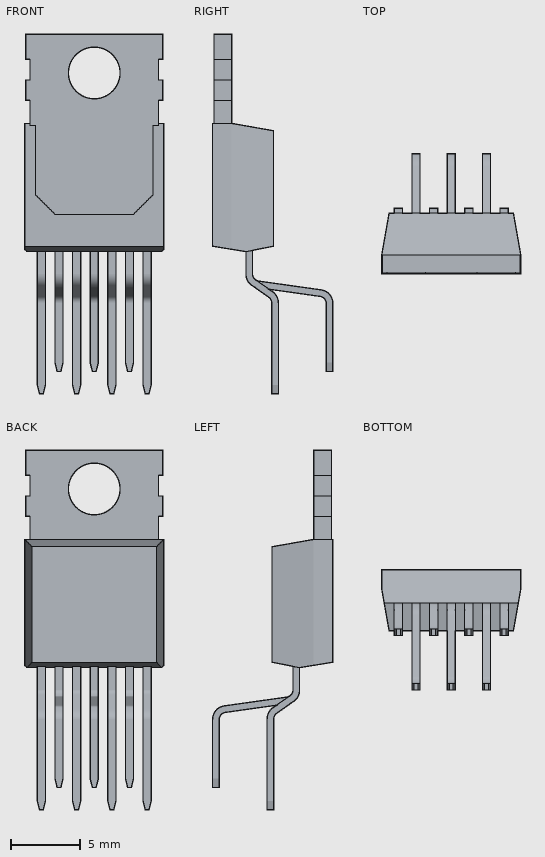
import cadquery as cq
import math


tab_top = 25.85
tab_width = 9.85
tab_thickness = 1.3
tab_setback = 0.1
tab_neck_width = 9.25
tab_tongue_width = 8.48
tab_tongue_top = 19.28
tab_bottom = 12.87
tab_corner = 1.45
notch_height = 1.47
upper_notch_top = tab_top - 1.8
tooth_height = 1.47
hole_diameter = 3.7
hole_drop = 2.8

body_width = 10.0
body_depth = 4.4
body_top = 19.45
body_bottom = 10.2
body_bottom_rise = 0.4
parting_y = tab_setback + tab_thickness
draft_angle = 10.0
draft = (body_depth - parting_y) * math.tan(math.radians(draft_angle))

lead_count = 7
lead_pitch = 1.27
lead_width = 0.6
lead_thickness = 0.5
lead_exit_y = 2.64
lead_embedment = 1.3
ridge_y = lead_exit_y - lead_thickness / 2
bend_start = 8.6
bend_radius = 0.75
tip_length = 0.62
tip_width = 0.28
total_depth = 8.65
long_lead_y = 4.5
long_lead_slope = 35.0
long_lead_end = 0.0
short_lead_y = total_depth - lead_thickness / 2
short_lead_slope = 8.0
short_lead_end = 1.6


def make_tab():
    """Notched plate with chamfered lower corners and a mounting hole."""
    upper_notch_bottom = upper_notch_top - notch_height
    lower_notch_top = upper_notch_bottom - tooth_height
    half_outline = [
        (tab_width / 2, tab_top),
        (tab_width / 2, upper_notch_top),
        (tab_neck_width / 2, upper_notch_top),
        (tab_neck_width / 2, upper_notch_bottom),
        (tab_width / 2, upper_notch_bottom),
        (tab_width / 2, lower_notch_top),
        (tab_neck_width / 2, lower_notch_top),
        (tab_neck_width / 2, tab_tongue_top),
        (tab_tongue_width / 2, tab_tongue_top),
        (tab_tongue_width / 2, tab_bottom + tab_corner),
        (tab_tongue_width / 2 - tab_corner, tab_bottom),
    ]
    mirrored = [(-x, z) for x, z in reversed(half_outline)]
    face = cq.Workplane("XZ", origin=(0, tab_setback, 0))
    plate = face.polyline(half_outline + mirrored).close().extrude(-tab_thickness)
    hole = face.center(0, tab_top - hole_drop).circle(hole_diameter / 2).extrude(-tab_thickness)
    return plate.cut(hole)


def make_tab_recess():
    """Clearance in front of the tab, so that its face shows through the body."""
    return make_tab().translate((0, -tab_thickness, 0))


def make_body():
    """Side profile and plan outline intersected, which drafts the back half on its top and sides."""
    side_profile = [
        (0, body_top),
        (parting_y, body_top),
        (body_depth, body_top - draft),
        (body_depth, body_bottom + body_bottom_rise),
        (ridge_y, body_bottom),
        (0, body_bottom + body_bottom_rise),
    ]
    back_half_width = body_width / 2 - draft
    plan_outline = [
        (-body_width / 2, 0),
        (body_width / 2, 0),
        (body_width / 2, parting_y),
        (back_half_width, body_depth),
        (-back_half_width, body_depth),
        (-body_width / 2, parting_y),
    ]
    block = cq.Workplane("YZ").polyline(side_profile).close().extrude(body_width / 2, both=True)
    return block.intersect(cq.Workplane("XY").polyline(plan_outline).close().extrude(body_top))


def make_lead(x, end_y, slope, end_z):
    """Flat lead that leaves the body downwards, slants backwards, then drops to a tapered tip."""
    turn = math.radians(90 - slope)
    arc_y = bend_radius * (1 - math.cos(turn))
    arc_z = bend_radius * math.sin(turn)
    slant_y = end_y - lead_exit_y - 2 * arc_y
    slant_z = slant_y / math.tan(turn)
    bend_end = bend_start - 2 * arc_z - slant_z
    start_z = body_bottom + lead_embedment

    centreline = (
        cq.Workplane("YZ", origin=(x, 0, 0))
        .moveTo(lead_exit_y, start_z)
        .lineTo(lead_exit_y, bend_start)
        .tangentArcPoint((lead_exit_y + arc_y, bend_start - arc_z), relative=False)
        .lineTo(end_y - arc_y, bend_end + arc_z)
        .tangentArcPoint((end_y, bend_end), relative=False)
        .lineTo(end_y, end_z)
    )
    section = cq.Workplane("XY", origin=(x, lead_exit_y, start_z)).rect(lead_width, lead_thickness)
    strip = section.sweep(centreline)

    front_outline = [
        (x - lead_width / 2, start_z),
        (x + lead_width / 2, start_z),
        (x + lead_width / 2, end_z + tip_length),
        (x + tip_width / 2, end_z),
        (x - tip_width / 2, end_z),
        (x - lead_width / 2, end_z + tip_length),
    ]
    return strip.intersect(cq.Workplane("XZ").polyline(front_outline).close().extrude(-total_depth))


result = make_body().cut(make_tab_recess()).union(make_tab())

for index in range(lead_count):
    lead_x = (index - (lead_count - 1) / 2) * lead_pitch
    if index % 2 == 0:
        lead = make_lead(lead_x, long_lead_y, long_lead_slope, long_lead_end)
    else:
        lead = make_lead(lead_x, short_lead_y, short_lead_slope, short_lead_end)
    result = result.union(lead)